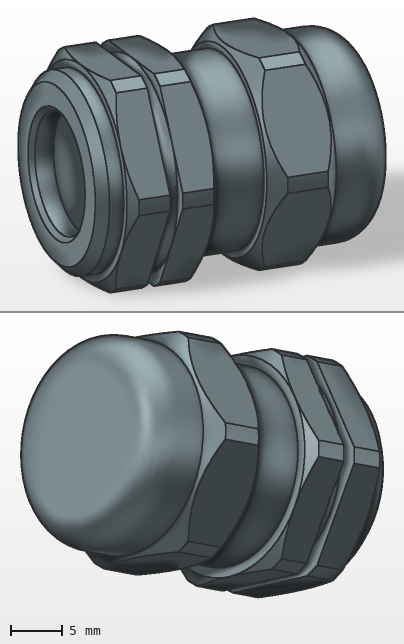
import cadquery as cq
import math

length = 31.7
across_flats = 22.0
across_corners = 24.5

lock_nut_start = 2.57
seal_start = 6.62
body_hex_start = 8.0
body_hex_end = 12.0
cap_hex_start = 17.68
cap_hex_end = 25.13

thread_diameter = 20.4
end_face_diameter = 18.3
end_chamfer_length = 1.05

mouth_diameter = 12.5
mouth_chamfer = 0.5
mouth_depth = 2.5

neck_diameter = 20.0
cap_diameter = 21.4
dome_radius = 3.45

seal_diameter = 22.0
seal_core_diameter = 19.0
seal_tube_radius = (seal_diameter - seal_core_diameter) / 2

nut_chamfer_angle = 30.0
cap_hex_chamfer_angle = 45.0


def cylinder(diameter, start, end):
    """Round section coaxial with Y, from start to end."""
    disc = cq.Workplane("XZ", origin=(0, start, 0)).circle(diameter / 2)
    return disc.extrude(start - end)


def hexagon(start, end, face_diameter, angle, chamfer_start, chamfer_end):
    """Hexagon with turned corners and conical chamfers on the chosen ends."""
    corner_radius = across_corners / 2
    face_radius = face_diameter / 2
    chamfer_length = (corner_radius - face_radius) * math.tan(math.radians(angle))

    blank = cq.Workplane("XY").moveTo(0, start)
    if chamfer_start:
        blank = blank.lineTo(face_radius, start).lineTo(corner_radius, start + chamfer_length)
    else:
        blank = blank.lineTo(corner_radius, start)
    if chamfer_end:
        blank = blank.lineTo(corner_radius, end - chamfer_length).lineTo(face_radius, end)
    else:
        blank = blank.lineTo(corner_radius, end)
    blank = blank.lineTo(0, end).close().revolve(360, (0, 0, 0), (0, 1, 0))

    sharp_diameter = across_flats / math.cos(math.radians(30))
    prism = cq.Workplane("XZ", origin=(0, start, 0)).polygon(6, sharp_diameter).extrude(start - end)
    return prism.intersect(blank)


def threaded_end():
    """Threaded spigot with a chamfered front, reaching back to the body hexagon."""
    end_radius = end_face_diameter / 2
    thread_radius = thread_diameter / 2
    return (
        cq.Workplane("XY")
        .lineTo(end_radius, 0)
        .lineTo(thread_radius, end_chamfer_length)
        .lineTo(thread_radius, body_hex_start)
        .lineTo(0, body_hex_start)
        .close()
        .revolve(360, (0, 0, 0), (0, 1, 0))
    )


def sealing_ring():
    """Quarter O-ring bulging from the body hexagon and cut flat by the lock nut."""
    core_radius = seal_core_diameter / 2
    o_ring = (
        cq.Workplane("XY", origin=(core_radius, body_hex_start, 0))
        .circle(seal_tube_radius)
        .revolve(360, (-core_radius, 0, 0), (-core_radius, 1, 0))
    )
    return o_ring.intersect(cylinder(seal_diameter, seal_start, body_hex_start))


def mouth():
    """Blind round recess in the threaded end, with a chamfered entry."""
    bore_radius = mouth_diameter / 2
    return (
        cq.Workplane("XY")
        .lineTo(bore_radius + mouth_chamfer, 0)
        .lineTo(bore_radius, mouth_chamfer)
        .lineTo(bore_radius, mouth_depth)
        .lineTo(0, mouth_depth)
        .close()
        .revolve(360, (0, 0, 0), (0, 1, 0))
    )


lock_nut = hexagon(lock_nut_start, seal_start, across_flats, nut_chamfer_angle, True, False)
body_hex = hexagon(body_hex_start, body_hex_end, across_flats, nut_chamfer_angle, False, True)
cap_hex = hexagon(cap_hex_start, cap_hex_end, cap_diameter, cap_hex_chamfer_angle, True, True)
neck = cylinder(neck_diameter, body_hex_end, cap_hex_start)
dome = cylinder(cap_diameter, cap_hex_end, length).faces(">Y").edges().fillet(dome_radius)

result = threaded_end()
for section in (lock_nut, sealing_ring(), body_hex, neck, cap_hex, dome):
    result = result.union(section)
result = result.cut(mouth())